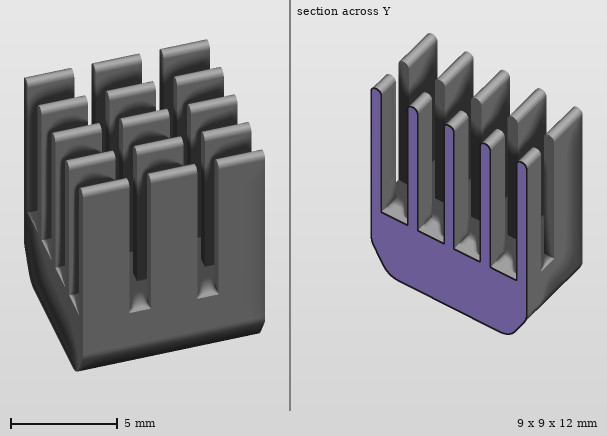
import cadquery as cq
import math

width = 9.0
depth = 9.0
height = 12.0
base_height = 4.0

fin_count = 5
fin_thickness = 0.6
fin_pitch = (width - fin_thickness) / (fin_count - 1)
tip_radius = fin_thickness / 2

segment_count = 3
cross_slot_width = 1.05
segment_length = (depth - (segment_count - 1) * cross_slot_width) / segment_count
segment_pitch = segment_length + cross_slot_width

bevel_run = 1.0
bevel_angle = 60.0
bevel_rise = bevel_run * math.tan(math.radians(bevel_angle))
bevel_corner_radius = 1.0


def make_base():
    """Base block with both lower long edges bevelled and rounded."""
    half_width = width / 2
    profile = [
        (-half_width, base_height),
        (-half_width, bevel_rise),
        (-half_width + bevel_run, 0),
        (half_width - bevel_run, 0),
        (half_width, bevel_rise),
        (half_width, base_height),
    ]
    block = cq.Workplane("XZ").polyline(profile).close().extrude(depth / 2, both=True)
    below_top = cq.selectors.BoxSelector(
        (-width, -depth, -base_height),
        (width, depth, (bevel_rise + base_height) / 2),
    )
    return block.edges("|Y").edges(below_top).fillet(bevel_corner_radius)


def make_fin(center_x):
    """Full-depth upright fin with a half-round tip."""
    left = center_x - fin_thickness / 2
    right = center_x + fin_thickness / 2
    root = base_height / 2
    shoulder = height - tip_radius
    return (
        cq.Workplane("XZ")
        .moveTo(left, root)
        .lineTo(left, shoulder)
        .threePointArc((center_x, height), (right, shoulder))
        .lineTo(right, root)
        .close()
        .extrude(depth / 2, both=True)
    )


def make_cross_slot(center_y):
    """Cutter that clears one slot through all fins down to the base top."""
    return (
        cq.Workplane("XY", origin=(0, center_y, base_height))
        .rect(width, cross_slot_width)
        .extrude(height - base_height)
    )


result = make_base()

for fin in range(fin_count):
    result = result.union(make_fin((fin - (fin_count - 1) / 2) * fin_pitch))

for slot in range(segment_count - 1):
    result = result.cut(make_cross_slot((slot - (segment_count - 2) / 2) * segment_pitch))